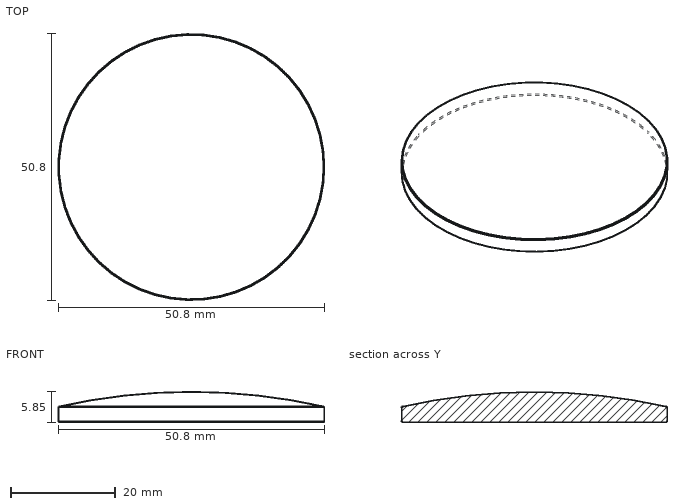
import cadquery as cq

diameter = 50.8
total_height = 5.85
edge_height = 3.05
bevel = 0.2

radius = diameter / 2
dome_rim_radius = radius - bevel
dome_rise = total_height - edge_height
sphere_radius = (dome_rim_radius**2 + dome_rise**2) / (2 * dome_rise)

middle_radius = dome_rim_radius / 2
middle_height = total_height - sphere_radius + (sphere_radius**2 - middle_radius**2) ** 0.5

half_section = (
    cq.Workplane("XZ")
    .moveTo(0, 0)
    .lineTo(radius - bevel, 0)
    .lineTo(radius, bevel)
    .lineTo(radius, edge_height - bevel)
    .lineTo(dome_rim_radius, edge_height)
    .threePointArc((middle_radius, middle_height), (0, total_height))
    .close()
)

result = half_section.revolve(360, (0, 0, 0), (0, 1, 0))